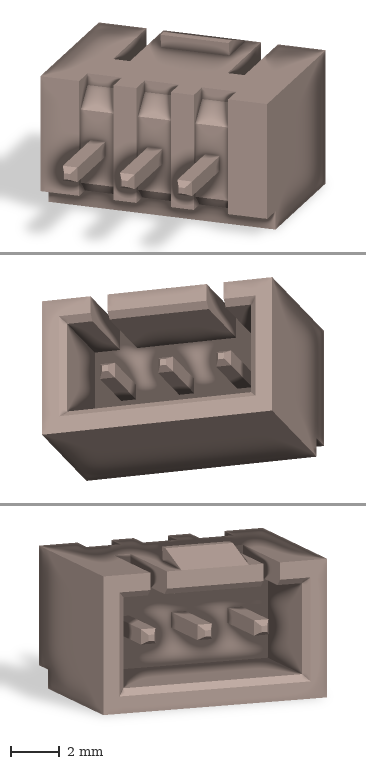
import cadquery as cq

housing_width = 9.9
housing_depth = 7.0
housing_height = 5.8
housing_bottom = -housing_height / 2
housing_top = housing_height / 2

step_depth = 1.0
step_height = 0.8

pin_count = 3
pitch = 2.5
pin_positions = [(i - (pin_count - 1) / 2) * pitch for i in range(pin_count)]

pin_size = 0.64
pin_tip_size = 0.26
pin_taper_length = 0.35
pin_overhang = 3.5
pin_recess = 0.8

recess_width = 1.5
recess_depth = step_depth
recess_floor_depth = 0.2
recess_end_height = 0.5
recess_slope = recess_depth - recess_floor_depth

wall = 1.0
slot_width = 0.74
slot_length = 4.0
cavity_depth = slot_length
lead_in = 0.27
slot_positions = [pin_positions[0], pin_positions[-1]]

latch_width = 2.98
latch_height = 0.6
latch_base_length = 2.03
latch_ramp_length = 1.74
latch_top_length = 2.12


def extrude_along_x(points, width, x_center):
    """Extrude a (y, z) outline along X, centred on x_center."""
    profile = cq.Workplane("YZ", origin=(x_center, 0, 0)).polyline(points).close()
    return profile.extrude(width / 2, both=True)


def make_housing():
    """Block with a step cut along the lower edge of its pin side."""
    step_top = housing_bottom + step_height
    outline = [
        (0, step_top),
        (0, housing_top),
        (housing_depth, housing_top),
        (housing_depth, housing_bottom),
        (step_depth, housing_bottom),
        (step_depth, step_top),
    ]
    return extrude_along_x(outline, housing_width, 0)


def make_pin_recess(x_center):
    """Recess cutter spanning the housing height, symmetric about z = 0."""
    slope_outer_z = housing_top - recess_end_height
    slope_inner_z = slope_outer_z - recess_slope
    outline = [
        (0, housing_top),
        (recess_depth, housing_top),
        (recess_depth, slope_outer_z),
        (recess_floor_depth, slope_inner_z),
        (recess_floor_depth, -slope_inner_z),
        (recess_depth, -slope_outer_z),
        (recess_depth, housing_bottom),
        (0, housing_bottom),
    ]
    return extrude_along_x(outline, recess_width, x_center)


def make_cavity():
    """Mating cavity that widens at its mouth into a 45 degree lead-in."""
    inner_width = housing_width - 2 * wall
    inner_height = housing_height - 2 * wall
    cavity_floor = housing_depth - cavity_depth
    cavity = (
        cq.Workplane("XZ", origin=(0, cavity_floor, 0))
        .rect(inner_width, inner_height)
        .extrude(-cavity_depth)
    )
    mouth = (
        cq.Workplane("XZ", origin=(0, housing_depth, 0))
        .rect(inner_width + 2 * lead_in, inner_height + 2 * lead_in)
        .workplane(offset=lead_in)
        .rect(inner_width, inner_height)
        .loft()
    )
    return cavity.union(mouth)


def make_slot(x_center):
    """Slot cutter reaching from the top face down to the mid-plane of the cavity."""
    return cq.Workplane("XY").box(
        slot_width, slot_length, housing_top, centered=(True, False, False)
    ).translate((x_center, housing_depth - slot_length, 0))


def make_latch():
    """Wedge rising from the mating edge to an undercut catch."""
    latch_top = housing_top + latch_height
    outline = [
        (housing_depth, housing_top),
        (housing_depth - latch_ramp_length, latch_top),
        (housing_depth - latch_top_length, latch_top),
        (housing_depth - latch_base_length, housing_top),
    ]
    return extrude_along_x(outline, latch_width, 0)


def make_pin(x_center):
    """Square pin along Y with a pyramid-shaped taper at both ends."""
    outer_end = -pin_overhang
    inner_end = housing_depth - pin_recess
    shaft_start = outer_end + pin_taper_length
    shaft_end = inner_end - pin_taper_length
    pin = (
        cq.Workplane("XZ", origin=(x_center, shaft_start, 0))
        .rect(pin_size, pin_size)
        .extrude(shaft_start - shaft_end)
    )
    for base_y, tip_direction in ((shaft_start, 1), (shaft_end, -1)):
        taper = (
            cq.Workplane("XZ", origin=(x_center, base_y, 0))
            .rect(pin_size, pin_size)
            .workplane(offset=tip_direction * pin_taper_length)
            .rect(pin_tip_size, pin_tip_size)
            .loft()
        )
        pin = pin.union(taper)
    return pin


result = make_housing().cut(make_cavity())
for slot_x in slot_positions:
    result = result.cut(make_slot(slot_x))
for pin_x in pin_positions:
    result = result.cut(make_pin_recess(pin_x))
result = result.union(make_latch())
for pin_x in pin_positions:
    result = result.union(make_pin(pin_x))